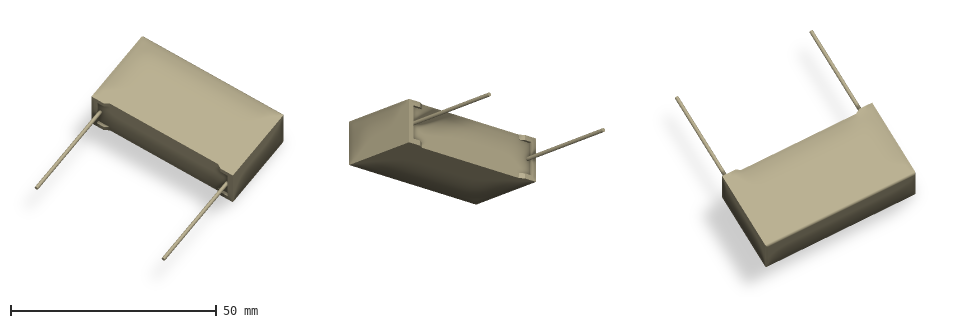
import cadquery as cq

total_length = 49.1
case_width = 41.8
case_height = 11.3
lead_length_past_feet = 26.9

foot_width = 3.65
shoulder_width = 4.9
foot_height = 0.8
end_wall = 1.5
side_wall = 1.35
back_wall = end_wall
front_wall = end_wall
back_edge_radius = 0.6

lead_diameter = 1.0
lead_pitch = 37.5

back_y = total_length / 2
lead_tip_y = -back_y
foot_y = lead_tip_y + lead_length_past_feet
front_y = foot_y + foot_height

half_width = case_width / 2
half_height = case_height / 2
window_inner_x = half_width - shoulder_width
window_outer_x = half_width - end_wall
window_spans = [(-window_outer_x, -window_inner_x), (window_inner_x, window_outer_x)]
cavity_height = case_height - 2 * side_wall
cavity_back_y = back_y - back_wall


def make_block(x_min, x_max, y_min, y_max, height):
    """Box between X and Y limits, centered on Z = 0."""
    center = ((x_min + x_max) / 2, (y_min + y_max) / 2, 0)
    return cq.Workplane("XY", origin=center).box(x_max - x_min, y_max - y_min, height)


def make_fill():
    """Resin filling the case cavity and showing through the two front windows."""
    fill = make_block(-window_outer_x, window_outer_x, front_y + front_wall, cavity_back_y, cavity_height)
    for x_min, x_max in window_spans:
        fill = fill.union(make_block(x_min, x_max, front_y, cavity_back_y, cavity_height))
    return fill


def make_outer_case():
    """Solid case block with a sloped foot at each end of its front."""
    foot_inner_x = half_width - foot_width
    outline = [
        (-half_width, back_y),
        (-half_width, foot_y),
        (-foot_inner_x, foot_y),
        (-window_inner_x, front_y),
        (window_inner_x, front_y),
        (foot_inner_x, foot_y),
        (half_width, foot_y),
        (half_width, back_y),
    ]
    block = cq.Workplane("XY").workplane(offset=-half_height).polyline(outline).close().extrude(case_height)
    return block.faces(">Y").edges().fillet(back_edge_radius)


def make_case(fill):
    """Case hollowed for the resin, with pockets through the feet down to the resin."""
    case = make_outer_case().cut(fill)
    for x_min, x_max in window_spans:
        case = case.cut(make_block(x_min, x_max, foot_y, front_y, cavity_height))
    return case


def make_lead(x):
    """Round wire running from the resin face to the lead tip."""
    wire = cq.Workplane("XZ", origin=(x, front_y, 0)).circle(lead_diameter / 2)
    return wire.extrude(front_y - lead_tip_y)


fill = make_fill()
case = make_case(fill)
leads = [make_lead(side * lead_pitch / 2) for side in (-1, 1)]

result = cq.Compound.makeCompound([case.val(), fill.val(), *[lead.val() for lead in leads]])